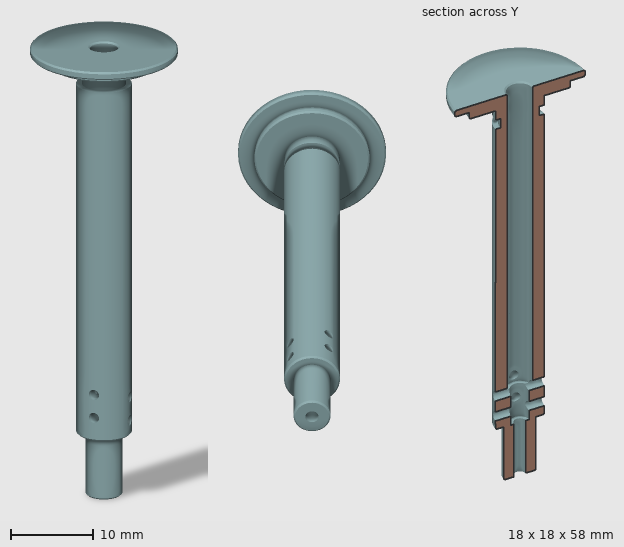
import cadquery as cq

total_height = 58.0

flange_diameter = 18.0
flange_thickness = 1.0
flange_chamfer = 0.2
step_diameter = 14.0
step_thickness = 1.0
step_chamfer = 0.2

stem_diameter = 6.8
stem_chamfer = 0.2
collar_height = 1.4
groove_diameter = 5.4
groove_width = 1.3

pin_diameter = 4.5
pin_length = 8.0
pin_chamfer = 0.2

main_bore_diameter = 3.4
main_bore_floor = 13.0
mouth_chamfer = 0.2
lower_bore_diameter = 2.5
lower_bore_floor = pin_length
outlet_diameter = 1.6

cross_hole_diameter = 1.3
cross_hole_pitch = 3.0
lowest_x_hole_height = 10.0
lowest_y_hole_height = 11.0

flange_base = total_height - flange_thickness
step_base = flange_base - step_thickness
groove_top = step_base - collar_height
groove_base = groove_top - groove_width


def cylinder(diameter, bottom, top):
    """Vertical cylinder on the Z axis between two heights."""
    return cq.Workplane("XY").workplane(offset=bottom).circle(diameter / 2).extrude(top - bottom)


def make_body():
    """Solid turned body: pin, stem, groove, step and flange."""
    pin = cylinder(pin_diameter, 0, pin_length).faces("<Z").chamfer(pin_chamfer)
    stem = cylinder(stem_diameter, pin_length, groove_base).faces("<Z").chamfer(stem_chamfer)
    groove_core = cylinder(groove_diameter, groove_base, groove_top)
    collar = cylinder(stem_diameter, groove_top, step_base)
    step = cylinder(step_diameter, step_base, flange_base).faces("<Z").chamfer(step_chamfer)
    flange = cylinder(flange_diameter, flange_base, total_height).edges().chamfer(flange_chamfer)
    return pin.union(stem).union(groove_core).union(collar).union(step).union(flange)


def make_bore():
    """Stepped bore, narrowing downwards, with a chamfered mouth."""
    outlet = cylinder(outlet_diameter, 0, lower_bore_floor)
    lower_bore = cylinder(lower_bore_diameter, lower_bore_floor, main_bore_floor)
    main_bore = cylinder(main_bore_diameter, main_bore_floor, total_height)
    mouth_radius = main_bore_diameter / 2 + mouth_chamfer
    mouth = cq.Workplane(
        cq.Solid.makeCone(
            main_bore_diameter / 2,
            mouth_radius,
            mouth_chamfer,
            pnt=cq.Vector(0, 0, total_height - mouth_chamfer),
        )
    )
    return outlet.union(lower_bore).union(main_bore).union(mouth)


def make_cross_holes(plane, lowest_height):
    """Pair of holes, one above the other, along the normal of a vertical plane."""
    centers = [(0, lowest_height), (0, lowest_height + cross_hole_pitch)]
    sketch = cq.Workplane(plane).pushPoints(centers).circle(cross_hole_diameter / 2)
    return sketch.extrude(stem_diameter, both=True)


result = (
    make_body()
    .cut(make_bore())
    .cut(make_cross_holes("YZ", lowest_x_hole_height))
    .cut(make_cross_holes("XZ", lowest_y_hole_height))
)